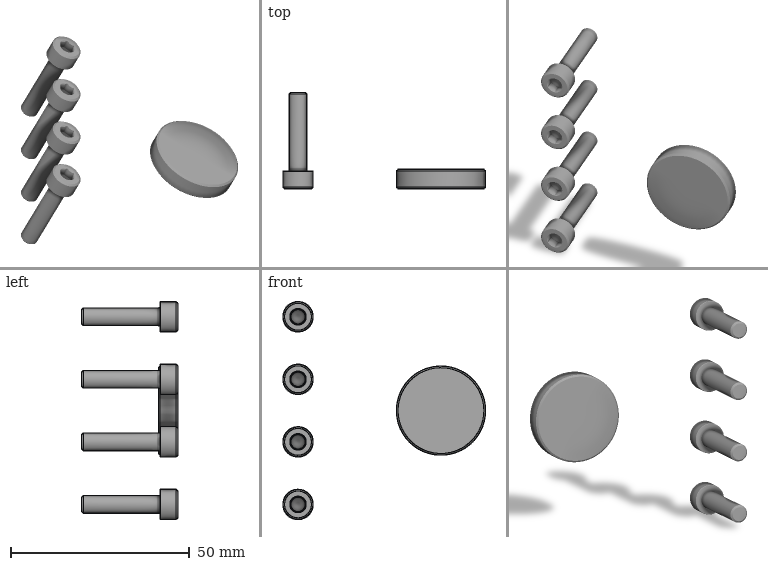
import cadquery as cq
import math

screw_count = 4
screw_pitch = 17.5
screw_x = -40.0

head_diameter = 8.5
head_height = 5.0
head_chamfer = 0.5
head_back_chamfer = 0.1

shank_diameter = 5.0
shank_length = 22.0
tip_chamfer = 0.5
neck_length = 0.6
neck_flare = 0.05

socket_across_flats = 4.0
socket_sides = 6
socket_across_corners = socket_across_flats / math.cos(math.pi / socket_sides)
socket_depth = 2.5
socket_tip_half_angle = 60.0
socket_tip_depth = socket_across_flats / 2 / math.tan(math.radians(socket_tip_half_angle))
socket_mouth_depth = (socket_across_corners - socket_across_flats) / 2

disc_diameter = 25.0
disc_thickness = 5.5
disc_chamfer = 0.5


def make_blank():
    """Head, flared neck and shank, revolved about the Y axis."""
    head_radius = head_diameter / 2
    shank_radius = shank_diameter / 2
    neck_end = head_height + neck_length
    tip_end = head_height + shank_length
    return (
        cq.Workplane("XY")
        .lineTo(head_radius - head_chamfer, 0)
        .lineTo(head_radius, head_chamfer)
        .lineTo(head_radius, head_height - head_back_chamfer)
        .lineTo(head_radius - head_back_chamfer, head_height)
        .lineTo(shank_radius + neck_flare, head_height)
        .lineTo(shank_radius, neck_end)
        .lineTo(shank_radius, tip_end - tip_chamfer)
        .lineTo(shank_radius - tip_chamfer, tip_end)
        .lineTo(0, tip_end)
        .close()
        .revolve(360, (0, 0, 0), (0, 1, 0))
    )


def make_socket():
    """Hexagonal recess with corners up and down, a conical floor and a conical lead-in."""
    hexagon = (
        cq.Workplane("XZ")
        .transformed(rotate=(0, 0, 90))
        .polygon(socket_sides, socket_across_corners)
        .extrude(-socket_depth)
    )
    floor_cone = (
        cq.Workplane("XY")
        .moveTo(0, socket_depth)
        .lineTo(socket_across_flats / 2, socket_depth)
        .lineTo(0, socket_depth + socket_tip_depth)
        .close()
        .revolve(360, (0, 0, 0), (0, 1, 0))
    )
    lead_in = (
        cq.Workplane("XY")
        .lineTo(socket_across_corners / 2, 0)
        .lineTo(socket_across_flats / 2, socket_mouth_depth)
        .lineTo(0, socket_mouth_depth)
        .close()
        .revolve(360, (0, 0, 0), (0, 1, 0))
    )
    return hexagon.union(floor_cone).union(lead_in)


def make_screw():
    """Socket head cap screw with its axis on Y."""
    return make_blank().cut(make_socket())


def make_disc():
    """Plain disc chamfered on both rims."""
    return (
        cq.Workplane("XZ")
        .circle(disc_diameter / 2)
        .extrude(-disc_thickness)
        .edges()
        .chamfer(disc_chamfer)
    )


screw = make_screw()
lowest_z = -screw_pitch * (screw_count - 1) / 2
screws = []
for index in range(screw_count):
    placed = screw.translate((screw_x, 0, lowest_z + index * screw_pitch))
    screws.append(placed.solids().val())

disc = make_disc()

result = cq.Compound.makeCompound([disc.solids().val(), *screws])